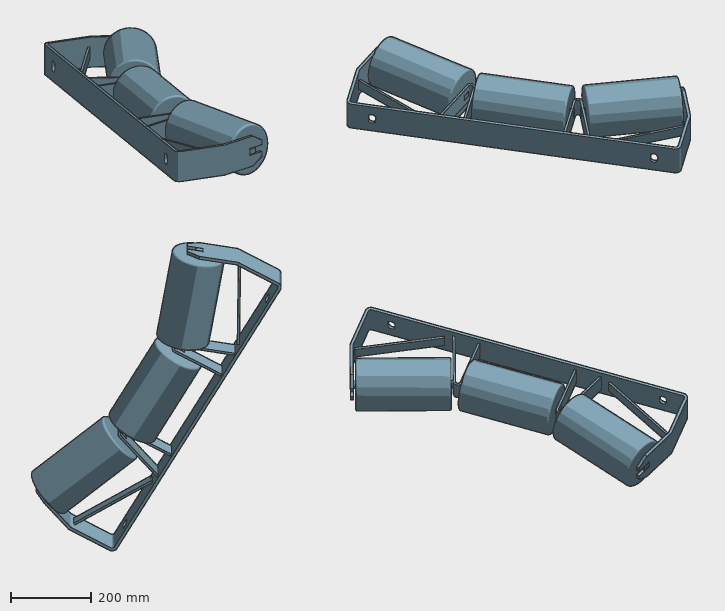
import cadquery as cq
import math

frame_length = 850.0
frame_height = 80.0
frame_thickness = 8.0
frame_corner_radius = 14.5
knee_radius = 15.0
tilt = 20.0
tip_reach = 250.0
tip_taper_length = 31.0
tip_height = 44.0
mount_hole_width = 19.0
mount_hole_length = 28.0
mount_hole_inset = 66.0

roller_diameter = 133.0
roller_length = 238.0
roller_edge_radius = 5.0
middle_roller_y = 125.0
outer_roller_x = 268.0
outer_roller_y = 176.0
roller_end_gap = 5.0

axle_diameter = 19.0
axle_flat_width = 14.5
slot_width = 18.0

sheet_thickness = 6.0
bracket_height = 50.0
bracket_bend_radius = 12.0

brace_height = 30.0
brace_foot_x = 219.0
brace_top_y = 117.0

tilt_sin = math.sin(math.radians(tilt))
tilt_cos = math.cos(math.radians(tilt))
half_length = frame_length / 2
pick_reach = frame_thickness / 4
axle_radius = axle_diameter / 2
face_offset = roller_length / 2 + roller_end_gap

middle_roller_location = cq.Location(cq.Vector(0, middle_roller_y, 0))
left_roller_location = cq.Location(
    cq.Vector(-outer_roller_x, outer_roller_y, 0), cq.Vector(0, 0, 1), -tilt
)


def plate(outline, height):
    """Plate with the closed XY outline, centred on Z = 0."""
    return outline.extrude(height / 2, both=True)


def placed(body, location):
    return cq.Workplane(body.val().moved(location))


def both_sides(left):
    """The left-hand body and its mirror image."""
    return [left, left.mirror("YZ")]


def axle_end(inner_x, outer_x):
    """Rectangular axle end along X, through a sheet between the two given X."""
    length = outer_x - inner_x
    return cq.Workplane("XY").box(length, axle_diameter, axle_flat_width).translate((inner_x + length / 2, 0, 0))


def make_roller(left_sheet, right_sheet):
    """Roller along X at the origin, between sheets of the given thicknesses."""
    barrel = (
        cq.Workplane("YZ", origin=(-roller_length / 2, 0, 0))
        .circle(roller_diameter / 2)
        .extrude(roller_length)
        .edges("%CIRCLE")
        .fillet(roller_edge_radius)
    )
    axle = cq.Workplane("YZ", origin=(-face_offset, 0, 0)).circle(axle_radius).extrude(2 * face_offset)
    left_end = axle_end(-face_offset - left_sheet, -face_offset)
    right_end = axle_end(face_offset, face_offset + right_sheet)
    return barrel.union(axle).union(left_end).union(right_end)


def make_slot(inner_x, outer_x, open_end_y):
    """Slot through a sheet along X, from under the axle to its open end."""
    return (
        cq.Workplane("XY")
        .box(outer_x - inner_x, axle_radius + open_end_y, slot_width, centered=(False, False, True))
        .translate((inner_x, -axle_radius, 0))
    )


def wall_point(inset, along):
    """Point on the left leaning wall, inset from its outer face, along from the axle line."""
    offset = face_offset + frame_thickness - inset
    return (
        -outer_roller_x - offset * tilt_cos + along * tilt_sin,
        outer_roller_y + offset * tilt_sin + along * tilt_cos,
    )


def wall_crossing(inset):
    """Point where a leaning wall face meets the upright wall face with the same inset."""
    x, y = wall_point(inset, 0)
    wall_x = inset - half_length
    return (wall_x, y - (x - wall_x) / math.tan(math.radians(tilt)))


tip_along = (tip_reach - wall_point(0, 0)[1]) / tilt_cos
tip_x = -face_offset - frame_thickness


def round_bend(body, outer_corner, inner_corner, outer_radius):
    """Round the upright edges at the two corners of a bend about one common centre."""
    inner_radius = outer_radius - frame_thickness
    for (x, y), radius in ((outer_corner, outer_radius), (inner_corner, inner_radius)):
        near = cq.selectors.BoxSelector(
            (x - pick_reach, y - pick_reach, -pick_reach), (x + pick_reach, y + pick_reach, pick_reach)
        )
        body = body.edges(near).fillet(radius)
    return body


def make_tip_corner(side):
    """Waste above (side 1) or below (side -1) the tapered tip, in the left roller's axes."""
    taper_start = tip_along - tip_taper_length
    return (
        cq.Workplane("YZ", origin=(tip_x, 0, 0))
        .moveTo(tip_along, side * tip_height / 2)
        .lineTo(tip_along, side * frame_height)
        .lineTo(taper_start, side * frame_height)
        .lineTo(taper_start, side * frame_height / 2)
        .close()
        .extrude(frame_thickness)
    )


def make_frame():
    outer_corner = (-half_length, 0)
    inner_corner = (frame_thickness - half_length, frame_thickness)
    outer_knee = wall_crossing(0)
    inner_knee = wall_crossing(frame_thickness)
    outline = [
        (0, 0),
        outer_corner,
        outer_knee,
        wall_point(0, tip_along),
        wall_point(frame_thickness, tip_along),
        inner_knee,
        inner_corner,
        (0, frame_thickness),
    ]
    half = plate(cq.Workplane("XY").polyline(outline).close(), frame_height)
    half = round_bend(half, outer_corner, inner_corner, frame_corner_radius)
    half = round_bend(half, outer_knee, inner_knee, knee_radius)

    for side in (1, -1):
        half = half.cut(placed(make_tip_corner(side), left_roller_location))
    half = half.cut(placed(make_slot(tip_x, -face_offset, tip_along), left_roller_location))

    mount_hole = (
        cq.Workplane("XZ", origin=(mount_hole_inset - half_length, 0, 0))
        .slot2D(mount_hole_length, mount_hole_width, 90)
        .extrude(-frame_thickness)
    )
    half = half.cut(mount_hole)
    return half.union(half.mirror("YZ"))


bend_x = -face_offset - bracket_bend_radius
bend_along_roller = face_offset + bracket_bend_radius
bend_y = outer_roller_y + ((bend_x + outer_roller_x) * tilt_cos - bend_along_roller) / tilt_sin


def make_left_bracket():
    def foot_x(radius):
        """X at the back plate of the leaning leg face at this radius from the bend centre."""
        return bend_x - radius / tilt_cos - (bend_y - frame_thickness) * tilt_sin / tilt_cos

    def lean_tangent(radius):
        return (bend_x - radius * tilt_cos, bend_y + radius * tilt_sin)

    outer = bracket_bend_radius
    inner = outer - sheet_thickness
    outline = (
        cq.Workplane("XY")
        .moveTo(bend_x + outer, frame_thickness)
        .lineTo(bend_x + outer, bend_y)
        .threePointArc((bend_x, bend_y + outer), lean_tangent(outer))
        .lineTo(foot_x(outer), frame_thickness)
        .lineTo(foot_x(inner), frame_thickness)
        .lineTo(*lean_tangent(inner))
        .threePointArc((bend_x, bend_y + inner), (bend_x + inner, bend_y))
        .lineTo(bend_x + inner, frame_thickness)
        .close()
    )
    bracket = plate(outline, bracket_height)
    outer_roller_hole = axle_end(face_offset, face_offset + sheet_thickness)
    middle_roller_hole = axle_end(-face_offset - sheet_thickness, -face_offset)
    bracket = bracket.cut(placed(outer_roller_hole, left_roller_location))
    return bracket.cut(placed(middle_roller_hole, middle_roller_location))


def make_left_brace():
    top = cq.Vector(frame_thickness - half_length, brace_top_y)
    foot = cq.Vector(-brace_foot_x, frame_thickness)
    run = foot - top
    slope = math.degrees(math.atan2(run.y, run.x))
    strip = cq.Workplane("XY").box(
        run.Length, sheet_thickness, brace_height, centered=(False, False, True)
    )
    return strip.rotate((0, 0, 0), (0, 0, 1), slope).translate(top)


frame = make_frame()
brackets = both_sides(make_left_bracket())
braces = both_sides(make_left_brace())
middle_roller = placed(make_roller(sheet_thickness, sheet_thickness), middle_roller_location)
left_roller = placed(make_roller(frame_thickness, sheet_thickness), left_roller_location)
outer_rollers = both_sides(left_roller)

bodies = [frame, middle_roller, *outer_rollers, *brackets, *braces]
result = cq.Compound.makeCompound([body.val() for body in bodies])